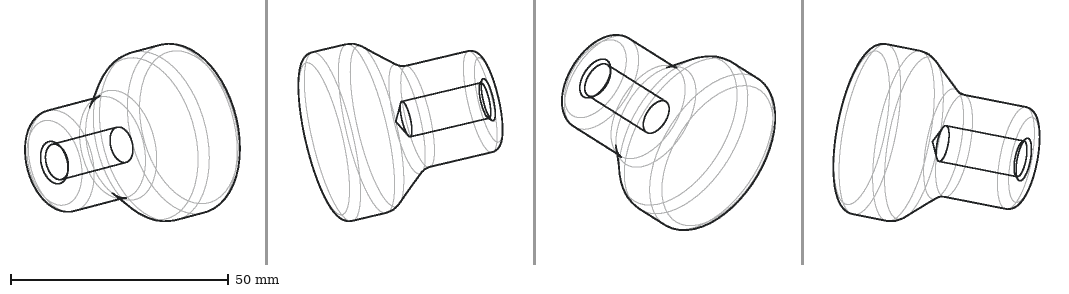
import cadquery as cq
import math

length = 40.0
head_diameter = 40.0
shank_diameter = 24.0

head_length = 11.75
cone_angle = 40.0
blend_radius = 4.0
end_radius = 2.0

hole_diameter = 8.38
hole_mouth_diameter = 10.0
hole_depth = 20.0
drill_point_angle = 118.0

head_radius = head_diameter / 2
shank_radius = shank_diameter / 2
hole_radius = hole_diameter / 2
mouth_radius = hole_mouth_diameter / 2

cone_length = (head_radius - shank_radius) / math.tan(math.radians(cone_angle))
cone_head_y = length - head_length
cone_shank_y = cone_head_y - cone_length


def make_body():
    """Revolve the sharp profile, then round the four outer circles."""
    body = (
        cq.Workplane("XY")
        .moveTo(0, 0)
        .lineTo(shank_radius, 0)
        .lineTo(shank_radius, cone_shank_y)
        .lineTo(head_radius, cone_head_y)
        .lineTo(head_radius, length)
        .lineTo(0, length)
        .close()
        .revolve(360, (0, 0, 0), (0, 1, 0))
    )
    body = body.faces("<Y or >Y").edges().fillet(end_radius)
    return round_cone_corners(body)


def round_cone_corners(body):
    """Blend the cone smoothly into the head and the shank."""
    return body.faces("%CONE").edges("%CIRCLE").fillet(blend_radius)


def make_hole():
    """Blind hole with a 45 degree mouth chamfer and a drill point."""
    chamfer_depth = mouth_radius - hole_radius
    point_depth = hole_radius / math.tan(math.radians(drill_point_angle / 2))
    return (
        cq.Workplane("XY")
        .moveTo(0, 0)
        .lineTo(mouth_radius, 0)
        .lineTo(hole_radius, chamfer_depth)
        .lineTo(hole_radius, hole_depth)
        .lineTo(0, hole_depth + point_depth)
        .close()
        .revolve(360, (0, 0, 0), (0, 1, 0))
    )


result = make_body().cut(make_hole())